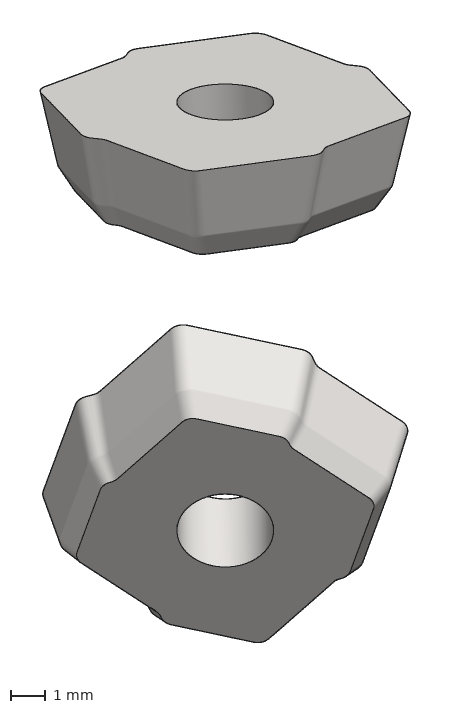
import cadquery as cq
import math

width = 9.74
height = 3.0
hole_diameter = 2.8

long_heading = -15.0
short_heading = 10.0
step_heading = 40.0
long_distance = 4.77
short_distance = 4.53

knee_height = 0.75
upper_draft = 11.0
lower_draft = 30.0

corner_radius = 0.5
knee_radius = 0.15


def outward_normal(heading):
    """Unit vector pointing out of a side whose outline runs clockwise along the heading."""
    angle = math.radians(heading)
    return -math.sin(angle), math.cos(angle)


def crossing(heading_a, distance_a, heading_b, distance_b):
    """Point where two sides meet, each given by heading and distance from the axis."""
    ax, ay = outward_normal(heading_a)
    bx, by = outward_normal(heading_b)
    determinant = ax * by - ay * bx
    x = (distance_a * by - distance_b * ay) / determinant
    y = (ax * distance_b - bx * distance_a) / determinant
    return x, y


def step_distance():
    """Distance of the step that lets the rounded nose reach exactly half the width."""
    long_x, long_y = outward_normal(long_heading)
    step_x, step_y = outward_normal(step_heading)
    nose_y = width / 2 - corner_radius
    nose_x = (long_distance - corner_radius - long_y * nose_y) / long_x
    return step_x * nose_x + step_y * nose_y + corner_radius


def sharp_outline(inset):
    """Corner points of the outline with every side moved inwards by the inset."""
    long_side = (long_heading, long_distance - inset)
    short_side = (short_heading, short_distance - inset)
    step_side = (step_heading, step_distance() - inset)
    next_short_side = (short_heading - 90, short_distance - inset)
    quarter = [
        crossing(*short_side, *step_side),
        crossing(*step_side, *long_side),
        crossing(*long_side, *next_short_side),
    ]
    points = []
    for turn in range(4):
        for x, y in quarter:
            for _ in range(turn):
                x, y = y, -x
            points.append((x, y))
    return points


def flat_face(corners):
    """Plane face through the given corner points."""
    wire = cq.Wire.makePolygon([cq.Vector(*corner) for corner in corners], close=True)
    return cq.Face.makeFromWires(wire)


def flat_walled_body(levels):
    """Solid with flat walls between outlines, each level given as height and inset."""
    rings = []
    for level_height, inset in levels:
        rings.append([(x, y, level_height) for x, y in sharp_outline(inset)])
    faces = [flat_face(rings[0]), flat_face(rings[-1])]
    for lower, upper in zip(rings, rings[1:]):
        for i in range(len(lower)):
            faces.append(flat_face([lower[i - 1], lower[i], upper[i], upper[i - 1]]))
    return cq.Workplane("XY").add(cq.Solid.makeSolid(cq.Shell.makeShell(faces)))


knee_inset = (height - knee_height) * math.tan(math.radians(upper_draft))
bottom_inset = knee_inset + knee_height * math.tan(math.radians(lower_draft))
body = flat_walled_body([(0, bottom_inset), (knee_height, knee_inset), (height, 0)])


def edges_between(solid, low_z, high_z):
    """Edges whose centres lie between two heights."""
    low_corner = (-width, -width, low_z)
    high_corner = (width, width, high_z)
    return solid.edges(cq.selectors.BoxSelector(low_corner, high_corner))


knee_edges = edges_between(body, knee_height - knee_radius, knee_height + knee_radius)
body = knee_edges.fillet(knee_radius)

corner_edges = edges_between(body, knee_height + knee_radius, height - knee_radius)
body = corner_edges.fillet(corner_radius)

hole = cq.Workplane("XY").circle(hole_diameter / 2).extrude(height)
result = body.cut(hole)